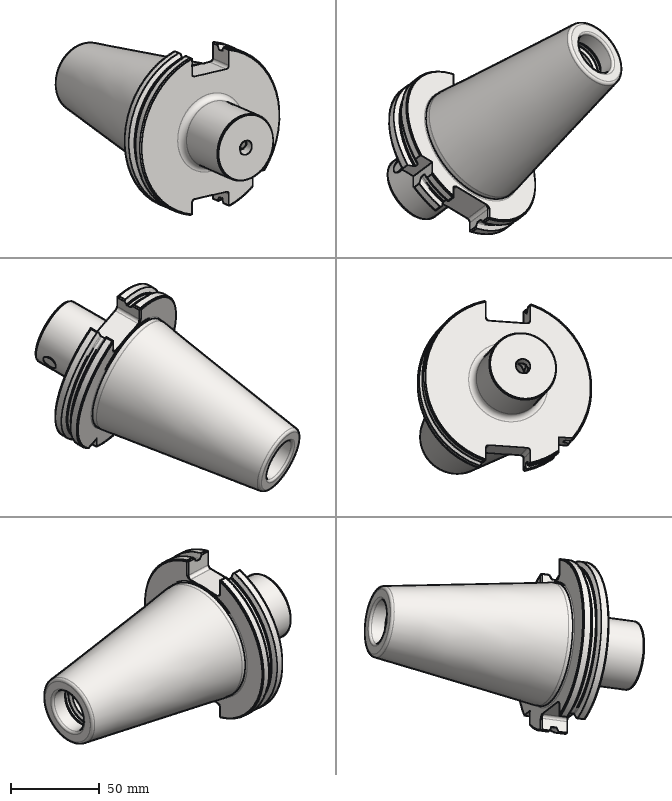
import cadquery as cq
import math


taper_ratio = 7 / 24
gauge_radius = 35.0
gauge_x = 101.7
taper_tip_radius = gauge_radius - gauge_x * taper_ratio / 2
tip_fillet = 1.9

flange_front_x = 105.0
flange_width = 16.0
flange_back_x = flange_front_x + flange_width
flange_radius = 48.7
collar_fillet = 0.7
front_rim_chamfer = 0.6
back_rim_chamfer = 0.8
groove_center_x = 112.9
groove_floor_radius = 45.6
groove_mouth_width = 6.3
groove_wall_angle = 60
groove_corner_fillet = 0.8

overall_length = 154.6
shank_radius = 19.5
shank_root_fillet = 3.5
shank_end_chamfer_length = 0.8
shank_end_chamfer_drop = 0.5

bore_radius = 12.5
bore_depth = 9.7
bore_mouth_fillet = 1.4
relief_radius = 13.0
relief_ramp_length = 1.1
relief_width = 2.8
thread_radius = 10.5
thread_chamfer_angle = 60
thread_end_x = 46.4
drill_tip_angle = 60
through_radius = 4.2

slot_width = 25.7
slot_corner_fillet = 1.9
slot_chamfer_width = 1.0
slot_chamfer_depth = 0.6
upper_slot_floor = 35.2
lower_slot_floor = 37.5
notch_wall_y = 29.5
notch_roof_z = -30.0

screw_x = overall_length - 10.0
screw_radius = 4.3
screw_inner_y = 4.6


def turned_body():
    """The outside shape, as one revolved outline."""
    outline = (
        cq.Workplane("XZ")
        .moveTo(0, 0)
        .lineTo(0, taper_tip_radius)
        .lineTo(gauge_x, gauge_radius)
        .lineTo(flange_front_x, gauge_radius)
        .lineTo(flange_front_x, flange_radius - front_rim_chamfer)
        .lineTo(flange_front_x + front_rim_chamfer, flange_radius)
        .lineTo(flange_back_x - back_rim_chamfer, flange_radius)
        .lineTo(flange_back_x, flange_radius - back_rim_chamfer)
        .lineTo(flange_back_x, shank_radius)
        .lineTo(overall_length - shank_end_chamfer_length, shank_radius)
        .lineTo(overall_length, shank_radius - shank_end_chamfer_drop)
        .lineTo(overall_length, 0)
        .close()
    )
    body = outline.revolve(360, (0, 0, 0), (1, 0, 0))
    body = body.faces("<X").edges().fillet(tip_fillet)
    body = body.edges(ring_at(flange_front_x, gauge_radius)).fillet(collar_fillet)
    return body.edges(ring_at(flange_back_x, shank_radius)).fillet(shank_root_fillet)


def ring_at(x, radius):
    """Selector for the circular edge of this radius at this X."""
    margin = 0.08
    reach = radius + margin
    return cq.selectors.BoxSelector(
        (x - margin, -reach, -reach), (x + margin, reach, reach), boundingbox=True
    )


def groove_cutter():
    """Ring that leaves a V groove with rounded floor corners."""
    depth = flange_radius - groove_floor_radius
    half_mouth = groove_mouth_width / 2
    half_floor = half_mouth - depth / math.tan(math.radians(groove_wall_angle))
    ring = (
        cq.Workplane("XZ")
        .polyline(
            [
                (groove_center_x - half_mouth, flange_radius),
                (groove_center_x - half_floor, groove_floor_radius),
                (groove_center_x + half_floor, groove_floor_radius),
                (groove_center_x + half_mouth, flange_radius),
            ]
        )
        .close()
        .revolve(360, (0, 0, 0), (1, 0, 0))
    )
    floor_edges = cq.selectors.RadiusNthSelector(0)
    return ring.edges(floor_edges).fillet(groove_corner_fillet)


def bore_cutter():
    """Stepped bore: rounded mouth, relief, thread hole, drill tip and through hole."""
    relief_end_x = bore_depth + relief_width
    thread_start_x = relief_end_x + (bore_radius - thread_radius) / math.tan(
        math.radians(thread_chamfer_angle)
    )
    tip_end_x = thread_end_x + (thread_radius - through_radius) / math.tan(math.radians(drill_tip_angle))
    fillet_reach = bore_mouth_fillet * math.sin(math.radians(45))
    fillet_center_radius = bore_radius + bore_mouth_fillet
    return (
        cq.Workplane("XZ")
        .moveTo(0, 0)
        .lineTo(0, fillet_center_radius)
        .threePointArc(
            (bore_mouth_fillet - fillet_reach, fillet_center_radius - fillet_reach),
            (bore_mouth_fillet, bore_radius),
        )
        .lineTo(bore_depth, bore_radius)
        .lineTo(bore_depth + relief_ramp_length, relief_radius)
        .lineTo(relief_end_x, relief_radius)
        .lineTo(relief_end_x, bore_radius)
        .lineTo(thread_start_x, thread_radius)
        .lineTo(thread_end_x, thread_radius)
        .lineTo(tip_end_x, through_radius)
        .lineTo(overall_length, through_radius)
        .lineTo(overall_length, 0)
        .close()
        .revolve(360, (0, 0, 0), (1, 0, 0))
    )


def slot_outline(x, floor, widening):
    """U-shaped slot outline in a plane of constant X, its walls moved out by the widening."""
    half_floor = slot_width / 2 - slot_corner_fillet
    radius = slot_corner_fillet + widening
    half_width = half_floor + radius
    arc_reach = radius * math.sin(math.radians(45))
    return (
        cq.Workplane("YZ", origin=(x, 0, 0))
        .moveTo(-half_floor, floor)
        .lineTo(half_floor, floor)
        .threePointArc(
            (half_floor + arc_reach, floor + radius - arc_reach), (half_width, floor + radius)
        )
        .lineTo(half_width, flange_radius)
        .lineTo(-half_width, flange_radius)
        .lineTo(-half_width, floor + radius)
        .threePointArc((-half_floor - arc_reach, floor + radius - arc_reach), (-half_floor, floor))
        .close()
    )


def slot_cutter(floor):
    """Drive slot open towards +Z, with chamfers along its front and rim edges."""
    half_width = slot_width / 2
    cutter = slot_outline(flange_front_x, floor, 0).extrude(flange_width)

    wide = slot_outline(flange_front_x, floor, slot_chamfer_width).val()
    narrow = slot_outline(flange_front_x + slot_chamfer_depth, floor, 0).val()
    cutter = cutter.union(cq.Workplane(cq.Solid.makeLoft([wide, narrow], True)))

    rim_half_width = half_width + slot_chamfer_width
    rim_height = math.sqrt(flange_radius**2 - rim_half_width**2)
    flare_width = (flange_radius - rim_height) * slot_chamfer_width / slot_chamfer_depth
    flare = (
        cq.Workplane("YZ", origin=(flange_front_x, 0, 0))
        .polyline(
            [
                (-half_width, rim_height - slot_chamfer_depth),
                (half_width, rim_height - slot_chamfer_depth),
                (rim_half_width + flare_width, flange_radius),
                (-rim_half_width - flare_width, flange_radius),
            ]
        )
        .close()
        .extrude(flange_width)
    )
    return cutter.union(flare)


def notch_cutter():
    """Square notch through the flange at its +Y, -Z corner."""
    return (
        cq.Workplane("YZ", origin=(flange_front_x, 0, 0))
        .moveTo(notch_wall_y, notch_roof_z)
        .rect(flange_radius, -flange_radius, centered=False)
        .extrude(flange_width)
    )


def screw_cylinder(inner_y, outer_y):
    """Cylinder along Y on the set screw's axis."""
    return (
        cq.Workplane("XZ", origin=(screw_x, inner_y, 0))
        .circle(screw_radius)
        .extrude(inner_y - outer_y)
    )


def tool_holder():
    lower_slot = slot_cutter(lower_slot_floor).rotate((0, 0, 0), (1, 0, 0), 180)
    return (
        turned_body()
        .cut(groove_cutter())
        .cut(bore_cutter())
        .cut(slot_cutter(upper_slot_floor))
        .cut(lower_slot)
        .cut(notch_cutter())
        .cut(screw_cylinder(0, shank_radius))
    )


def set_screw():
    return screw_cylinder(screw_inner_y, shank_radius)


result = cq.Compound.makeCompound([tool_holder().val(), set_screw().val()])